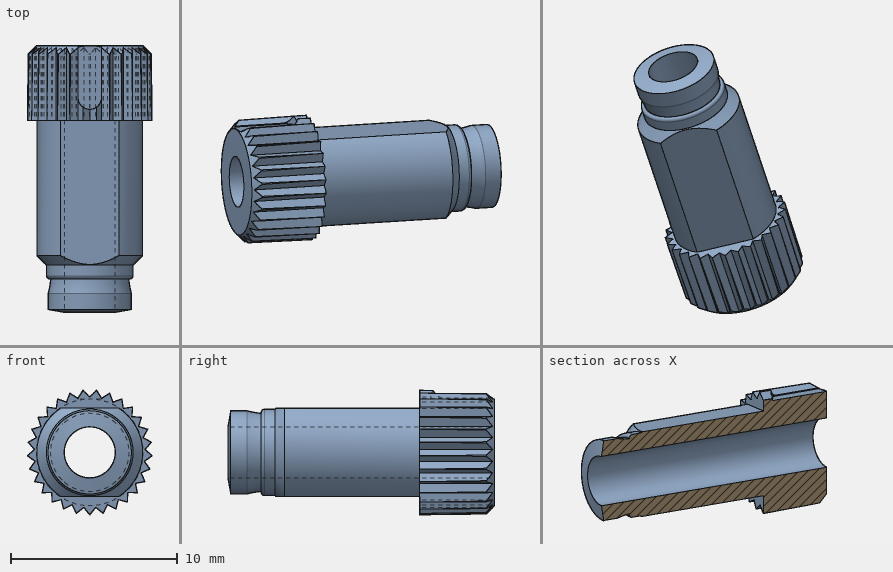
import cadquery as cq
import math

total_length = 16.0
bore_diameter = 3.05

nose_radius = 5.0 / 2
end_cone_height = 0.17
nose_top = 1.15
neck_radius = 4.7 / 2
neck_top = 2.0
neck_hollow = 0.02

collar_radius = 5.2 / 2
collar_edge_radius = 0.2
collar_top = 2.83

shank_radius = 6.35 / 2
shank_cone_height = collar_top + shank_radius - collar_radius
flat_distance = 5.3

head_length = 4.5
head_start = total_length - head_length
head_radius = 3.75
head_back_radius = 3.7
head_chamfer = 0.5
tooth_count = 29
tooth_pitch_angle = 360 / tooth_count
groove_half_angle = 45

slot_width = 1.4
slot_length = 3.82
slot_floor = 3.21


def turned_body():
    """Solid of revolution; the sketch is (radius, Y) in the XY plane."""
    bore_radius = bore_diameter / 2
    head_edge = total_length - head_chamfer
    neck_middle = (nose_top + neck_top) / 2
    neck_middle_radius = (nose_radius + neck_radius) / 2 - neck_hollow
    rounding_offset = collar_edge_radius * (1 - math.sqrt(0.5))
    return (
        cq.Workplane("XY")
        .moveTo(bore_radius, 0)
        .lineTo(nose_radius, end_cone_height)
        .lineTo(nose_radius, nose_top)
        .threePointArc((neck_middle_radius, neck_middle), (neck_radius, neck_top))
        .lineTo(collar_radius - collar_edge_radius, neck_top)
        .threePointArc(
            (collar_radius - rounding_offset, neck_top + rounding_offset),
            (collar_radius, neck_top + collar_edge_radius),
        )
        .lineTo(collar_radius, collar_top)
        .lineTo(shank_radius, shank_cone_height)
        .lineTo(shank_radius, head_start)
        .lineTo(head_radius, head_start)
        .lineTo(head_back_radius, head_edge)
        .lineTo(head_back_radius - head_chamfer, total_length)
        .lineTo(bore_radius, total_length)
        .close()
        .revolve(360, (0, 0, 0), (0, 1, 0))
    )


def shank_flat(side):
    """Block removed beyond one flat; side is +1 for top, -1 for bottom."""
    size = 2 * head_radius
    return cq.Workplane("XY").box(size, head_start, size).translate(
        (0, head_start / 2, side * (flat_distance + size) / 2)
    )


def tooth_groove(angle):
    """V-shaped cutter along the head; neighbouring grooves meet in sharp tooth tips at the shoulder."""
    half_pitch = math.radians(tooth_pitch_angle / 2)
    tip_height = head_radius * math.cos(half_pitch)
    tip_half_width = head_radius * math.sin(half_pitch)
    slope = math.tan(math.radians(groove_half_angle))
    valley_height = tip_height - tip_half_width / slope
    clearance = 0.1
    outer_height = tip_height + clearance
    outer_half_width = tip_half_width + clearance * slope
    return (
        cq.Workplane("XZ", origin=(0, head_start, 0))
        .moveTo(0, valley_height)
        .lineTo(outer_half_width, outer_height)
        .lineTo(-outer_half_width, outer_height)
        .close()
        .extrude(-head_length)
        .rotate((0, 0, 0), (0, 1, 0), angle)
    )


def index_slot():
    """Round-ended cutter above the slot floor."""
    half_width = slot_width / 2
    end_y = total_length - slot_length
    return (
        cq.Workplane("XY", origin=(0, 0, slot_floor))
        .moveTo(-half_width, total_length)
        .lineTo(-half_width, end_y + half_width)
        .threePointArc((0, end_y), (half_width, end_y + half_width))
        .lineTo(half_width, total_length)
        .close()
        .extrude(head_radius)
    )


result = turned_body()
for side in (1, -1):
    result = result.cut(shank_flat(side))
for tooth in range(tooth_count):
    result = result.cut(tooth_groove(tooth * tooth_pitch_angle))
result = result.cut(index_slot())